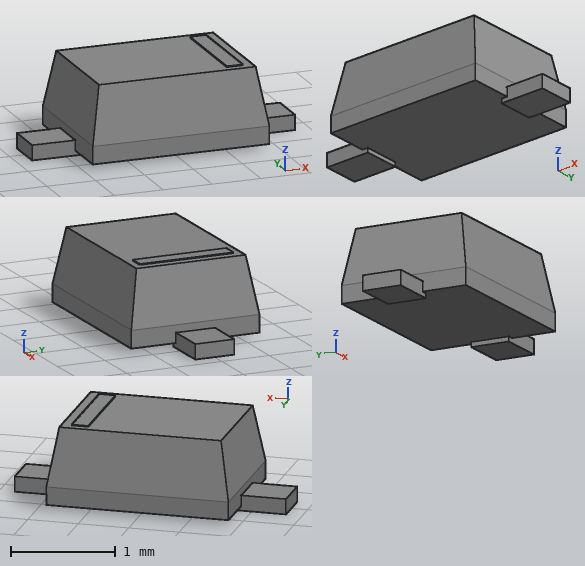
import cadquery as cq

overall_length = 2.69
overall_width = 1.35
overall_height = 0.82

standoff = 0.05
body_length = 1.805
base_height = 0.185
top_inset = 0.10

lead_length = 0.51
lead_width = 0.41
lead_thickness = 0.155

band_thickness = 0.01
band_length = 0.165
band_width = 0.985
band_center_x = 0.62

body_top = overall_height - band_thickness
taper_bottom = standoff + base_height
lead_center_x = (overall_length - lead_length) / 2


def make_lead(side):
    """Flat lead, resting on Z = 0, on the -X (side = -1) or +X (side = 1) end."""
    return (
        cq.Workplane("XY")
        .center(side * lead_center_x, 0)
        .rect(lead_length, lead_width)
        .extrude(lead_thickness)
    )


def make_body(leads):
    """Package body with a recess where each lead enters its underside."""
    base = (
        cq.Workplane("XY")
        .workplane(offset=standoff)
        .rect(body_length, overall_width)
        .extrude(base_height)
    )
    tapered_part = (
        cq.Workplane("XY")
        .workplane(offset=taper_bottom)
        .rect(body_length, overall_width)
        .workplane(offset=body_top - taper_bottom)
        .rect(body_length - 2 * top_inset, overall_width - 2 * top_inset)
        .loft(ruled=True)
    )
    body = base.union(tapered_part)
    for lead in leads:
        body = body.cut(lead)
    return body


def make_band():
    """Thin polarity band lying on the top face of the body."""
    return (
        cq.Workplane("XY")
        .workplane(offset=body_top)
        .center(band_center_x, 0)
        .rect(band_length, band_width)
        .extrude(band_thickness)
    )


leads = [make_lead(side) for side in (-1, 1)]
body = make_body(leads)
band = make_band()

result = cq.Compound.makeCompound([body.val(), band.val(), *[lead.val() for lead in leads]])